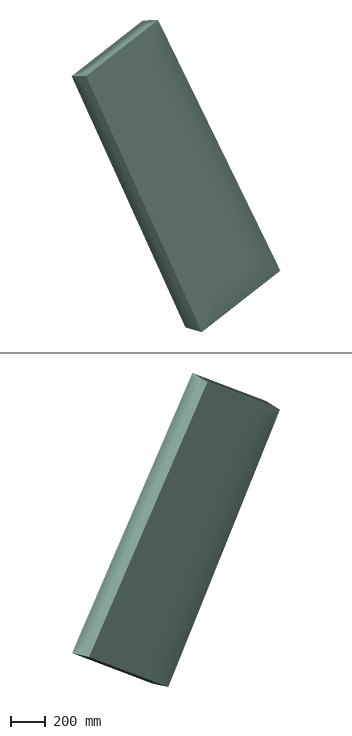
import cadquery as cq

LENGTH_X = 1034.0
HEIGHT_Z = 1550.0

LOWER_FACE_TOP = cq.Vector(0, 0, 1463.0)
UPPER_FACE_TOP = cq.Vector(115.0, 0, HEIGHT_Z)
LOWER_FACE_BOTTOM = cq.Vector(904.0, 0, 0)
UPPER_FACE_BOTTOM = cq.Vector(LENGTH_X, 0, 59.0)

NARROW_WIDTH = 598.0
WIDE_WIDTH = 657.0
FRONT_SLANT = 3.0

LOWER_SKIN = 0.6
LOWER_BOARD = 1.5
INNER_BOARD = 2.0
CORE = 3.0
UPPER_BOARD = 2.1
THICKNESS = LOWER_SKIN + LOWER_BOARD + INNER_BOARD + CORE + UPPER_BOARD


def make_plan_envelope():
    """Vertical prism whose slanted sides trim every sheet to width."""
    outline = [
        (0, FRONT_SLANT),
        (LENGTH_X, 0),
        (LENGTH_X, WIDE_WIDTH),
        (0, NARROW_WIDTH),
    ]
    return cq.Workplane("XY").polyline(outline).close().extrude(HEIGHT_Z)


def point_across(lower, upper, depth):
    """XZ point on a mitred end at the given depth above the lower face."""
    point = lower + (upper - lower) * (depth / THICKNESS)
    return (point.x, point.z)


def make_sheet(base, thickness):
    """One sheet starting at depth base above the panel's lower face."""
    top = base + thickness
    profile = [
        point_across(LOWER_FACE_TOP, UPPER_FACE_TOP, base),
        point_across(LOWER_FACE_TOP, UPPER_FACE_TOP, top),
        point_across(LOWER_FACE_BOTTOM, UPPER_FACE_BOTTOM, top),
        point_across(LOWER_FACE_BOTTOM, UPPER_FACE_BOTTOM, base),
    ]
    blank = cq.Workplane("XZ").polyline(profile).close().extrude(-WIDE_WIDTH)
    return blank.intersect(make_plan_envelope())


lower_board_base = LOWER_SKIN
inner_board_base = lower_board_base + LOWER_BOARD
core_base = inner_board_base + INNER_BOARD
upper_board_base = core_base + CORE

lower_skin = make_sheet(0, LOWER_SKIN)
lower_board = make_sheet(lower_board_base, LOWER_BOARD)
inner_board = make_sheet(inner_board_base, INNER_BOARD)
core = make_sheet(core_base, CORE)
upper_board = make_sheet(upper_board_base, UPPER_BOARD)

result = cq.Compound.makeCompound([
    lower_skin.val(),
    lower_board.val(),
    inner_board.val(),
    core.val(),
    upper_board.val(),
])